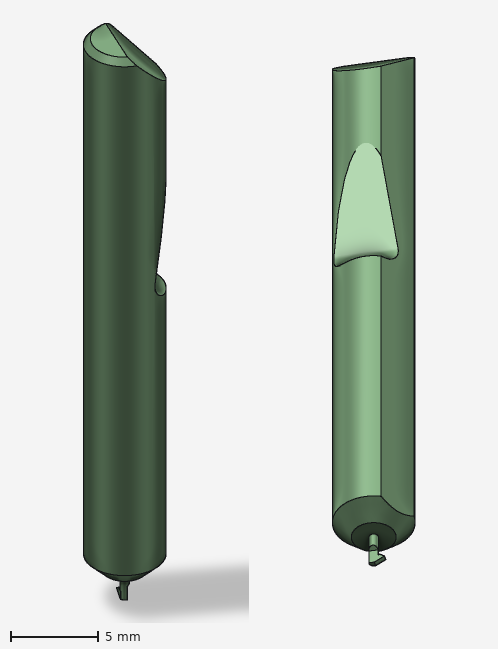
import cadquery as cq
import math

overall_length = 38.1
shank_radius = 4.76 / 2
top_chamfer = 0.4

nose_z = 1.93
nose_end_radius = 1.29
nose_height = shank_radius - nose_end_radius
neck_radius = 0.28

flat_distance = 2.0
flat_angle = 145

bevel_start_y = -0.5

notch_bottom_z = 21.1
notch_radius = 1.15
notch_center_y = 2.25
notch_ramp_angle = 10

rake_face_y = 0.06
rake_z = 0.88
rake_runout_z = 1.1
tooth_reach = 0.65
tooth_tip_z = 0.35
tooth_top_z = 0.54
tooth_top_x = -0.37
tooth_inner_x = 0.1
tooth_heel_x = -0.05

clearance = 1.0
span = 4 * shank_radius


def extruded_along_x(outline):
    """Solid of a (Y, Z) outline running right across the shank in X."""
    return outline.close().extrude(span / 2, both=True)


def make_body():
    """Shank with its top chamfer, nose cone and neck, turned about Z."""
    outline = (
        cq.Workplane("XZ")
        .moveTo(0, 0)
        .lineTo(neck_radius, 0)
        .lineTo(neck_radius, nose_z)
        .lineTo(nose_end_radius, nose_z)
        .lineTo(shank_radius, nose_z + nose_height)
        .lineTo(shank_radius, overall_length - top_chamfer)
        .lineTo(shank_radius - top_chamfer, overall_length)
        .lineTo(0, overall_length)
        .close()
    )
    return outline.revolve(360, (0, 0, 0), (0, 1, 0))


def make_flat_cutter():
    """Block that leaves a flat along the whole shank."""
    return (
        cq.Workplane("XY")
        .box(span, span, overall_length, centered=(False, True, False))
        .translate((flat_distance, 0, 0))
        .rotate((0, 0, 0), (0, 0, 1), flat_angle)
    )


def make_bevel_cutter():
    """Wedge above the 45 degree bevel on the +Y side of the top."""
    run = shank_radius + clearance - bevel_start_y
    return extruded_along_x(
        cq.Workplane("YZ")
        .moveTo(bevel_start_y, overall_length)
        .lineTo(bevel_start_y + run, overall_length - run)
        .lineTo(bevel_start_y + run, overall_length)
    )


def make_notch_cutter():
    """Notch with a round lower end and a long ramp running out upwards."""
    ramp = math.radians(notch_ramp_angle)
    center_z = notch_bottom_z + notch_radius
    outer_y = shank_radius + clearance
    tangent_y = notch_center_y - notch_radius * math.cos(ramp)
    tangent_z = center_z + notch_radius * math.sin(ramp)
    middle_angle = (math.pi / 2 - ramp) / 2
    return extruded_along_x(
        cq.Workplane("YZ")
        .moveTo(outer_y, notch_bottom_z)
        .lineTo(notch_center_y, notch_bottom_z)
        .threePointArc(
            (
                notch_center_y - notch_radius * math.cos(middle_angle),
                center_z - notch_radius * math.sin(middle_angle),
            ),
            (tangent_y, tangent_z),
        )
        .lineTo(outer_y, tangent_z + (outer_y - tangent_y) / math.tan(ramp))
    )


def make_rake_cutter():
    """Relief on the +Y side of the neck, ending in a sloped run-out."""
    return extruded_along_x(
        cq.Workplane("YZ")
        .moveTo(rake_face_y, 0)
        .lineTo(rake_face_y, rake_z)
        .lineTo(neck_radius, rake_runout_z)
        .lineTo(neck_radius, 0)
    )


def make_heel_cutter():
    """Wedge below the sloping underside of the tooth, trimming the neck's end."""
    return (
        cq.Workplane("XZ")
        .moveTo(tooth_heel_x, 0)
        .lineTo(-tooth_reach, tooth_tip_z)
        .lineTo(-tooth_reach, 0)
        .close()
        .extrude(clearance, both=True)
    )


def make_tooth():
    """Pointed cutting tooth reaching out towards -X, its face on the rake plane."""
    return (
        cq.Workplane("XZ", origin=(0, rake_face_y, 0))
        .moveTo(tooth_inner_x, 0)
        .lineTo(tooth_heel_x, 0)
        .lineTo(-tooth_reach, tooth_tip_z)
        .lineTo(tooth_top_x, tooth_top_z)
        .lineTo(tooth_inner_x, tooth_top_z)
        .close()
        .extrude(rake_face_y + neck_radius)
    )


result = (
    make_body()
    .cut(make_flat_cutter())
    .cut(make_bevel_cutter())
    .cut(make_notch_cutter())
    .cut(make_rake_cutter())
    .cut(make_heel_cutter())
    .union(make_tooth())
)